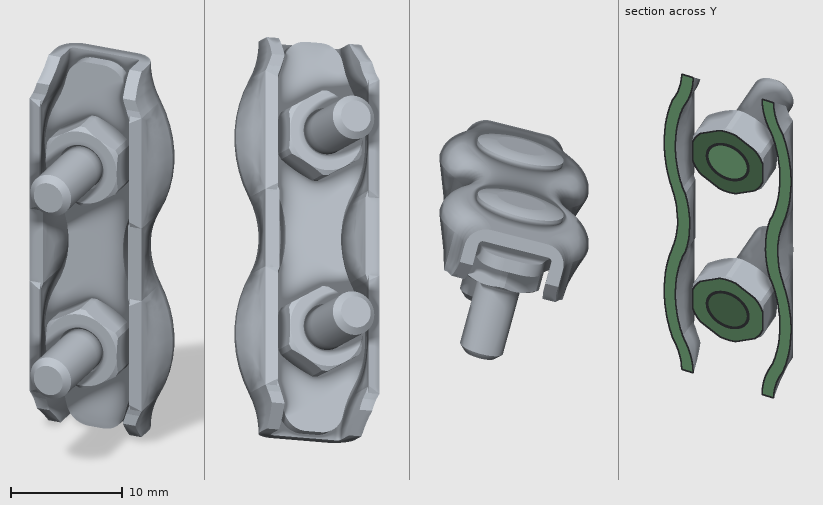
import cadquery as cq
import math

clip_length = 36.0
bolt_spacing = clip_length / 2
bolt_heights = (-bolt_spacing / 2, bolt_spacing / 2)
half_length = clip_length / 2
half_spacing = bolt_spacing / 2

neck_half_width = 4.57
bulge_half_width = 6.9
land_half_length = 3.55
wave = bulge_half_width - neck_half_width
radius_sum = (half_spacing**2 + wave**2) / (2 * wave)
neck_radius = radius_sum * land_half_length / half_spacing
bulge_radius = radius_sum - neck_radius
neck_centre_x = neck_half_width + neck_radius
bulge_centre_x = bulge_half_width - bulge_radius
end_zone = half_length - land_half_length

wall = 1.2
outer_bend = 1.98
inner_bend = 0.4
wall_start = 2.0
rim_depth = 5.7
lip_depth = 5.98
lip_inner_half_width = 4.4
end_rim_depth = 5.58
end_ramp_length = 0.55
end_chamfer = 1.98

bridge_start = 2.25
bridge_thickness = 1.2
bridge_inset = 1.9
bridge_end_gap = 0.1
bridge_corner = 2.15
nut_seat_depth = bridge_start + bridge_thickness

shank_diameter = 4.0
shank_end_depth = 13.95
shank_tip_chamfer = 0.58
head_diameter = 8.0
head_rim_height = 0.5
head_height = 0.85
head_flat_radius = 2.25

nut_sides = 6
nut_across_flats = 7.0
nut_thickness = 3.2
nut_corner_radius = 3.9
nut_chamfer_depth = 0.3
nut_countersink_diameter = 4.4

straight_tolerance = 3.6e-07
cut_margin = 0.72


def neck_distance(z):
    """Distance along Z to the middle of the nearest neck."""
    return abs(z - bolt_spacing * round(z / bolt_spacing))


def land_limit(inset):
    """Half length of a neck arc on the outline moved inward by inset."""
    return land_half_length * (neck_radius + inset) / neck_radius


def half_width(z, inset=0.0):
    """Half width at height z of the channel outline moved inward by inset."""
    from_neck = neck_distance(z)
    if from_neck <= land_limit(inset):
        return neck_centre_x - math.sqrt((neck_radius + inset) ** 2 - from_neck**2)
    from_bulge = half_spacing - from_neck
    return bulge_centre_x + math.sqrt((bulge_radius - inset) ** 2 - from_bulge**2)


def outer_rim(z):
    """Outer half width at the rim: straight, but following the outline at both ends."""
    return half_width(max(abs(z), end_zone))


def inner_rim(z):
    """Inner half width at the rim: straight lands, stepping out a little at the bulges."""
    if abs(z) >= end_zone:
        return half_width(z, wall)
    land_width = half_width(end_zone, wall)
    step = (neck_distance(z) - land_half_length) / (land_limit(wall) - land_half_length)
    return land_width + (lip_inner_half_width - land_width) * min(max(step, 0.0), 1.0)


def side_edge(start, middle, end):
    """A line through three points if they are in line, otherwise an arc."""
    bow = (middle - (start + end) * 0.5).Length
    if bow < straight_tolerance:
        return cq.Edge.makeLine(start, end)
    return cq.Edge.makeThreePointArc(start, middle, end)


def closed_outline(depth, width_at, heights):
    """Closed symmetric wire at one depth, with one edge per side between successive heights."""
    def point(side, z):
        return cq.Vector(side * width_at(z), -depth, z)

    edges = []
    for low, high in zip(heights, heights[1:]):
        edges.append(side_edge(point(1, low), point(1, (low + high) / 2), point(1, high)))
    edges.append(cq.Edge.makeLine(point(1, heights[-1]), point(-1, heights[-1])))
    for high, low in zip(heights[::-1], heights[-2::-1]):
        edges.append(side_edge(point(-1, high), point(-1, (low + high) / 2), point(-1, low)))
    edges.append(cq.Edge.makeLine(point(-1, heights[0]), point(1, heights[0])))
    return cq.Wire.assembleEdges(edges)


def mirrored(positive_heights):
    """Ascending heights on both sides of Z = 0."""
    return [-z for z in reversed(positive_heights)] + list(positive_heights)


def slab(wire, thickness):
    """Prism grown from a wire toward -Y."""
    return cq.Workplane(obj=cq.Solid.extrudeLinear(wire, [], cq.Vector(0, -thickness, 0)))


def ruled_wall(first_wire, second_wire):
    return cq.Workplane(obj=cq.Solid.makeLoft([first_wire, second_wire], True))


def channel_outside():
    """Filled outer shape: a back with rounded long sides, then walls leaning in at the bulges."""
    heights = mirrored([land_half_length, end_zone, half_length])
    back = slab(closed_outline(0, half_width, heights), wall_start)
    back = back.faces(">Y").edges("%CIRCLE").fillet(outer_bend)
    walls = ruled_wall(
        closed_outline(wall_start, half_width, heights),
        closed_outline(rim_depth, outer_rim, heights),
    )
    return back.union(walls)


def channel_cavity():
    """Inside of the channel, open toward -Y and at both ends."""
    inner_land = land_limit(wall)
    heights = mirrored(
        [land_half_length, inner_land, bolt_spacing - inner_land, end_zone, half_length]
    )

    def inner_half_width(z):
        return half_width(z, wall)

    floor = slab(closed_outline(wall, inner_half_width, heights), wall_start - wall)
    floor = floor.faces(">Y").edges("%CIRCLE").fillet(inner_bend)
    walls = ruled_wall(
        closed_outline(wall_start, inner_half_width, heights),
        closed_outline(rim_depth, inner_rim, heights),
    )
    opening = slab(closed_outline(rim_depth, inner_rim, heights), cut_margin)
    return floor.union(walls).union(opening)


def rim_lip(side, bolt_z):
    """Wedge on the rim beside a bolt: rises inward and is bevelled at both ends."""
    half_lip = half_spacing - land_half_length
    half_crest = half_spacing - land_limit(wall)
    section = cq.Workplane("XY", origin=(0, 0, bolt_z - half_lip)).polyline(
        [
            (side * outer_rim(bolt_z), -rim_depth),
            (side * lip_inner_half_width, -lip_depth),
            (side * lip_inner_half_width, -rim_depth),
        ]
    )
    length_profile = cq.Workplane("YZ", origin=(0, 0, bolt_z)).polyline(
        [
            (-rim_depth, -half_lip),
            (-lip_depth, -half_crest),
            (-lip_depth, half_crest),
            (-rim_depth, half_lip),
        ]
    )
    wedge = section.close().extrude(2 * half_lip)
    return wedge.intersect(length_profile.close().extrude(bulge_half_width, both=True))


def end_trim():
    """Cutter for the rim at the +Z end: a corner chamfer, a shelf and a short ramp."""
    clear_depth = rim_depth + cut_margin
    profile = cq.Workplane("YZ").polyline(
        [
            (-(end_rim_depth - end_chamfer), half_length),
            (-end_rim_depth, half_length - end_chamfer),
            (-end_rim_depth, end_zone + end_ramp_length),
            (-rim_depth, end_zone),
            (-clear_depth, end_zone),
            (-clear_depth, half_length),
        ]
    )
    return profile.close().extrude(bulge_half_width, both=True)


def shank_hole(z):
    """Through hole for a bolt shank, along Y at height z."""
    hole = cq.Workplane("XZ", origin=(0, cut_margin, z)).circle(shank_diameter / 2)
    return hole.extrude(shank_end_depth)


def make_channel():
    channel = channel_outside()
    for z in bolt_heights:
        for side in (-1, 1):
            channel = channel.union(rim_lip(side, z))
    channel = channel.cut(channel_cavity())
    trim = end_trim()
    channel = channel.cut(trim).cut(trim.mirror("XY"))
    for z in bolt_heights:
        channel = channel.cut(shank_hole(z))
    return channel


def make_bridge():
    """Flat clamping plate that follows the channel outline at a constant inset."""
    land = land_limit(bridge_inset)
    heights = mirrored([land, bolt_spacing - land, half_length - bridge_end_gap])

    def bridge_half_width(z):
        return half_width(z, bridge_inset)

    bridge = slab(closed_outline(bridge_start, bridge_half_width, heights), bridge_thickness)
    bridge = bridge.edges("|Y").edges(">Z or <Z").fillet(bridge_corner)
    for z in bolt_heights:
        bridge = bridge.cut(shank_hole(z))
    return bridge


def make_bolt(z):
    """Domed round head on the back of the channel, with a shank chamfered at its tip."""
    head_radius = head_diameter / 2
    shank_radius = shank_diameter / 2
    dome_height = head_height - head_rim_height
    dome_width = head_radius - head_flat_radius
    dome_radius = (dome_width**2 + dome_height**2) / (2 * dome_height)
    mid_drop = dome_radius - math.sqrt(dome_radius**2 - (dome_width / 2) ** 2)
    profile = (
        cq.Workplane("XY")
        .moveTo(0, head_height)
        .lineTo(head_flat_radius, head_height)
        .threePointArc(
            (head_flat_radius + dome_width / 2, head_height - mid_drop),
            (head_radius, head_rim_height),
        )
        .lineTo(head_radius, 0)
        .lineTo(shank_radius, 0)
        .lineTo(shank_radius, -(shank_end_depth - shank_tip_chamfer))
        .lineTo(shank_radius - shank_tip_chamfer, -shank_end_depth)
        .lineTo(0, -shank_end_depth)
        .close()
    )
    return profile.revolve(360, (0, 0, 0), (0, 1, 0)).translate((0, 0, z))


def make_nut(z):
    """Hexagon nut seated on the bridge, with flats toward +X and -X and both ends chamfered."""
    bore_radius = shank_diameter / 2
    mouth_radius = nut_countersink_diameter / 2
    face_radius = nut_across_flats / 2
    countersink = mouth_radius - bore_radius
    hexagon = (
        cq.Workplane("XZ")
        .polygon(nut_sides, nut_across_flats, circumscribed=True)
        .extrude(nut_thickness)
    )
    envelope = (
        cq.Workplane("XY")
        .polyline(
            [
                (bore_radius, -countersink),
                (mouth_radius, 0),
                (face_radius, 0),
                (nut_corner_radius, -nut_chamfer_depth),
                (nut_corner_radius, nut_chamfer_depth - nut_thickness),
                (face_radius, -nut_thickness),
                (mouth_radius, -nut_thickness),
                (bore_radius, countersink - nut_thickness),
            ]
        )
        .close()
        .revolve(360, (0, 0, 0), (0, 1, 0))
    )
    return hexagon.intersect(envelope).translate((0, -nut_seat_depth, z))


channel = make_channel().solids()
bridge = make_bridge().solids()
bolts = [make_bolt(z).solids() for z in bolt_heights]
nuts = [make_nut(z).solids() for z in bolt_heights]

bodies = [channel, bridge, *bolts, *nuts]
result = cq.Compound.makeCompound([body.val() for body in bodies])